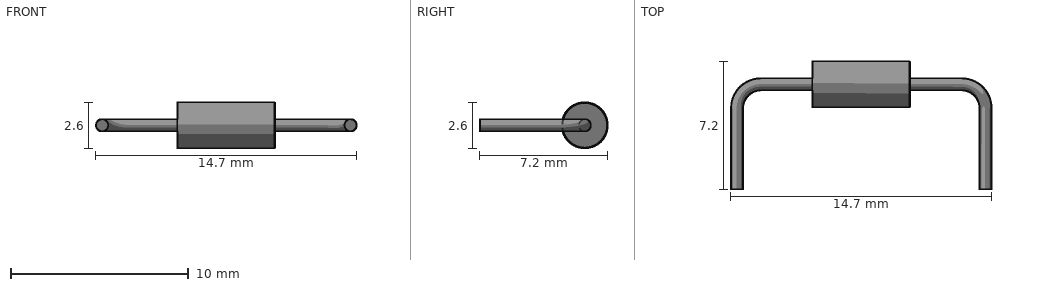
import cadquery as cq

span = 14.66
depth = 7.2
body_diameter = 2.6
body_length = 5.5
body_edge_chamfer = 0.05
lead_diameter = 0.69
bend_radius = 1.35

lead_radius = lead_diameter / 2
leg_x = span / 2 - lead_radius
leg_tip_y = body_diameter / 2 - depth
bend_start_x = leg_x - bend_radius


def make_body():
    """Cylinder along X with its +X rim chamfered."""
    body = cq.Workplane("YZ").circle(body_diameter / 2).extrude(body_length)
    body = body.translate((-body_length / 2, 0, 0))
    return body.faces(">X").edges().chamfer(body_edge_chamfer)


def make_lead():
    """Round wire along +X from the body centre, bent a quarter turn toward -Y."""
    straight = cq.Workplane("YZ").circle(lead_radius).extrude(bend_start_x)
    bend = (
        cq.Workplane("YZ", origin=(bend_start_x, 0, 0))
        .circle(lead_radius)
        .revolve(90, (-bend_radius, 0, 0), (-bend_radius, -1, 0))
    )
    leg = (
        cq.Workplane("XZ", origin=(leg_x, -bend_radius, 0))
        .circle(lead_radius)
        .extrude(-leg_tip_y - bend_radius)
    )
    return straight.union(bend).union(leg)


lead = make_lead()
result = make_body().union(lead).union(lead.mirror("YZ"))